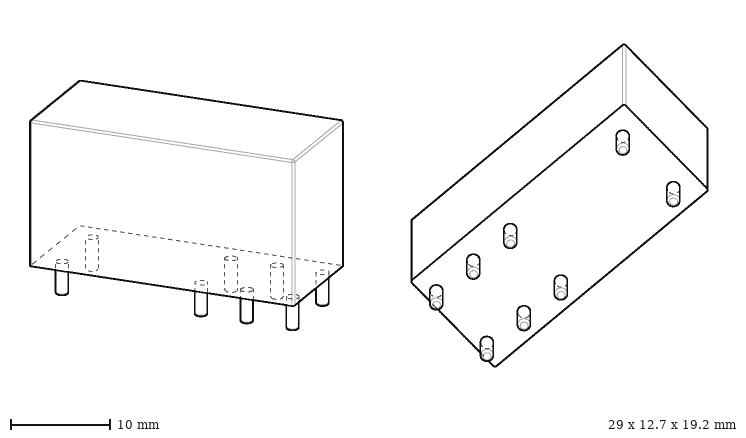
import cadquery as cq

case_length = 29.0
case_width = 12.7
overall_height = 19.2
pin_length = 3.5
case_height = overall_height - pin_length
case_rounding = 0.23

pin_diameter = 1.3
pin_tip_rounding = 0.25
contact_pitch = 5.02
coil_pin_inset = 2.46
coil_to_contact = 15.25
contacts_per_row = 3
row_spacing = 7.6
row_center_y = 0.03


def make_case():
    box = cq.Workplane("XY").box(case_length, case_width, case_height, centered=(True, True, False))
    return box.edges("|Z or >Z").fillet(case_rounding)


def make_pin(x, y):
    pin = cq.Workplane("XY").center(x, y).circle(pin_diameter / 2).extrude(-pin_length)
    return pin.faces("<Z").edges().fillet(pin_tip_rounding)


coil_x = coil_pin_inset - case_length / 2
contact_xs = [coil_x + coil_to_contact + i * contact_pitch for i in range(contacts_per_row)]

result = make_case()
for row_y in (row_center_y - row_spacing / 2, row_center_y + row_spacing / 2):
    for pin_x in [coil_x] + contact_xs:
        result = result.union(make_pin(pin_x, row_y))